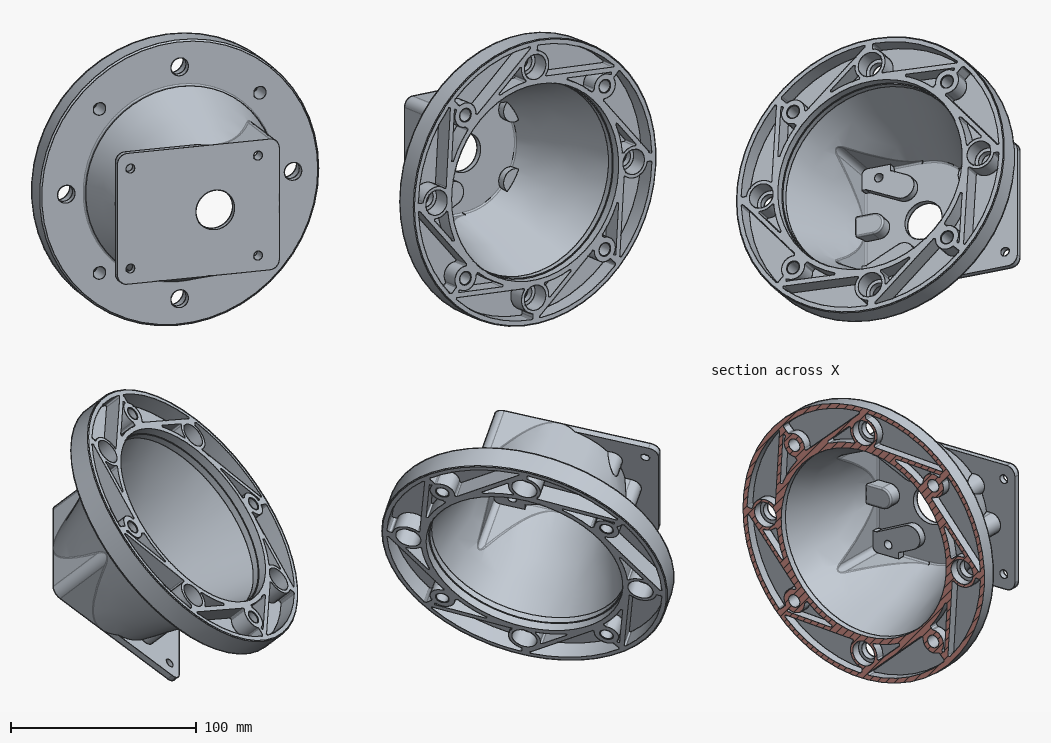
import cadquery as cq
import math


length = 70.0
flange_radius = 80.0
flange_thickness = 14.0
flange_front_chamfer = 0.5
flange_back_chamfer = 1.0

collar_radius = 54.5
collar_end = 16.0
collar_fillet = 0.8
root_margin = 0.3
shell_end_radius = 36.6

plate_thickness = 3.5
plate_half_width = shell_end_radius
plate_bottom = -56.0
plate_corner = 5.5
plate_hole_diameter = 5.0
plate_hole_z = 28.0
plate_hole_ys = (-48.6, 24.5)
wall = 2.0
junction_fillet = 1.3
blend_overrun = 4.8

bore_radius = 55.0
bore_depth = 5.0
seat_radius = 54.4
seat_end = 8.6
floor_x = length - plate_thickness
cavity_end_radius = 34.0
floor_fillet = 1.0
shaft_hole_diameter = 22.0

boss_spacing = 40.2
boss_centre_y = -9.8
boss_radius = 6.0
pad_radius = 6.9
pad_height = 4.6
pad_arm_angle = 24.5
pad_arm_length = 25.6
pad_corner_y = 17.5
pad_corner_z = 22.4
stop_radius = 6.0
stop_end_y = 20.2
stop_height = 8.0
stop_edge_round = 1.0
centre_boss_y = -40.5
boss_start = flange_thickness

bolt_circle_radius = 65.0
hole_count = 8
large_hole_angle = 0
small_hole_angle = 45
large_hole_diameter = 10.0
large_counterbore_diameter = 14.0
large_boss_radius = 9.0
small_hole_diameter = 7.0
small_hole_chamfer = 0.3
small_boss_radius = 6.9
pocket_depth = 10.0
pocket_inner_radius = 58.0
pocket_outer_radius = 77.0
pocket_corner = 0.6
rib_width = 2.7
rib_offset = 57.6
rib_lead_angle = 3.6
rib_lead_in = 1.6
spoke_width = 2.9
foot_width = 9.3


def disc(radius, start, end, y=0.0, z=0.0):
    """Cylinder along X between two X positions."""
    return cq.Workplane("YZ", origin=(start, y, z)).circle(radius).extrude(end - start)


def block(y_min, y_max, half_width, start, end):
    """Box along X, symmetric about Z = 0."""
    size_y = y_max - y_min
    base = cq.Workplane("YZ", origin=(start, y_min + size_y / 2, 0))
    return base.rect(size_y, 2 * half_width).extrude(end - start)


def revolved(profile):
    """Turn an (X, radius) outline around the X axis."""
    return cq.Workplane("XY").polyline(profile).close().revolve(360, (0, 0, 0), (1, 0, 0))


def polar_holes(first_angle):
    """YZ centres of every other hole on the bolt circle."""
    angles = [math.radians(first_angle + 90 * i) for i in range(hole_count // 2)]
    return [(bolt_circle_radius * math.cos(a), bolt_circle_radius * math.sin(a)) for a in angles]


large_holes = polar_holes(large_hole_angle)
small_holes = polar_holes(small_hole_angle)


def make_flange():
    flange = disc(flange_radius, 0, flange_thickness)
    flange = flange.faces("<X").chamfer(flange_front_chamfer)
    return flange.faces(">X").chamfer(flange_back_chamfer)


def make_shell():
    """Cone with a square half blended into it, trimmed flush at the plate end."""
    taper = (collar_radius - shell_end_radius) / (length - collar_end)
    blend_end = length + blend_overrun
    cone = revolved([(0, 0), (0, collar_radius), (collar_end, collar_radius),
                     (blend_end, shell_end_radius - taper * blend_overrun), (blend_end, 0)])
    square = block(0, plate_half_width, plate_half_width, collar_end, blend_end)
    square = square.edges("|X and >Y").fillet(plate_corner)
    shell = cone.union(square).edges("%HYPERBOLA or %BSPLINE").fillet(junction_fillet)
    return shell.intersect(disc(flange_radius, 0, length))


def make_flanged_shell():
    """Flange and shell joined, with a small fillet at the collar root."""
    body = make_flange().union(make_shell())
    root_box = cq.selectors.BoxSelector(
        (flange_thickness - root_margin, -collar_radius - root_margin, -collar_radius - root_margin),
        (flange_thickness + root_margin, collar_radius + root_margin, collar_radius + root_margin),
        boundingbox=True)
    return body.edges(root_box).fillet(collar_fillet)


def make_plate():
    plate = block(plate_bottom, plate_half_width, plate_half_width, floor_x, length)
    return plate.edges("|X").fillet(plate_corner)


def make_outer_bosses():
    """Round bosses that run from the shell to the plate on the -Y side."""
    bosses = disc(boss_radius, boss_start, length, centre_boss_y)
    bosses = bosses.union(block(centre_boss_y, 0, boss_radius, boss_start, length))
    for z in (-boss_spacing / 2, boss_spacing / 2):
        bosses = bosses.union(disc(boss_radius, boss_start, length, boss_centre_y - boss_spacing / 2, z))
    return bosses


def make_cavity():
    """Stepped bore and cone with a square half, rounded at the floor."""
    cone = revolved([(0, 0), (0, bore_radius), (bore_depth, bore_radius), (bore_depth, seat_radius),
                     (seat_end, seat_radius), (floor_x, cavity_end_radius), (floor_x, 0)])
    inner_half = plate_half_width - wall
    square = block(0, inner_half, inner_half, collar_end, floor_x)
    square = square.edges("|X and >Y").fillet(plate_corner - wall)
    cavity = cone.union(square).edges("%HYPERBOLA or %BSPLINE").fillet(junction_fillet)
    return cavity.faces(">X").edges().fillet(floor_fillet)


def make_pads(cavity):
    """Raised screw pads on the cavity floor, trimmed to the cavity walls."""
    pad_x = floor_x - pad_height
    pads = None
    for side in (-1, 1):
        z = side * boss_spacing / 2
        upper_y = boss_centre_y + boss_spacing / 2
        lower_pad = disc(pad_radius, pad_x, floor_x, upper_y - boss_spacing, z)
        upper_pad = disc(pad_radius, pad_x, floor_x, upper_y, z)
        arm = cq.Workplane("YZ", origin=(pad_x, pad_arm_length / 2, 0))
        arm = arm.rect(pad_arm_length, 2 * pad_radius).extrude(pad_height)
        arm = arm.rotate((0, 0, 0), (1, 0, 0), side * pad_arm_angle).translate((0, upper_y, z))
        corner = cq.Workplane("XY").box(pad_height, plate_half_width - pad_corner_y,
                                        plate_half_width - pad_corner_z, centered=(False, False, False))
        corner = corner.translate((pad_x, pad_corner_y, pad_corner_z))
        if side < 0:
            corner = corner.mirror("XY")
        pad = upper_pad.union(arm).union(corner).union(lower_pad)
        pads = pad if pads is None else pads.union(pad)
    stop_y = stop_end_y + stop_radius
    stop = disc(stop_radius, floor_x - stop_height, floor_x, stop_y)
    stop = stop.union(block(stop_y, plate_half_width, stop_radius, floor_x - stop_height, floor_x))
    stop = stop.faces("<X").edges("not >Y").fillet(stop_edge_round)
    return pads.union(stop).intersect(cavity)


def radial_bar(inner, outer, width, angle):
    """Straight bar in the flange face, pointing outward from the axis."""
    bar = cq.Workplane("YZ").center((inner + outer) / 2, 0)
    bar = bar.rect(outer - inner, width).extrude(pocket_depth)
    return bar.rotate((0, 0, 0), (1, 0, 0), angle)


def tangential_rib(angle):
    """Rib that leaves the inner ring almost tangentially and runs out to the rim."""
    run = math.sqrt(flange_radius ** 2 - rib_offset ** 2) + rib_lead_in
    rib = cq.Workplane("YZ").center(rib_offset, run / 2 - rib_lead_in)
    rib = rib.rect(rib_width, run).extrude(pocket_depth)
    return rib.rotate((0, 0, 0), (1, 0, 0), angle)


def make_pockets():
    """Pockets in the flange face, left between rings, bosses, spokes and tangential ribs."""
    ring = disc(pocket_outer_radius, 0, pocket_depth).cut(disc(pocket_inner_radius, 0, pocket_depth))
    for centres, radius in ((large_holes, large_boss_radius), (small_holes, small_boss_radius)):
        for y, z in centres:
            ring = ring.cut(disc(radius, 0, pocket_depth, y, z))
    for i in range(hole_count):
        angle = i * 360 / hole_count
        ring = ring.cut(tangential_rib(angle + rib_lead_angle))
        ring = ring.cut(radial_bar(bolt_circle_radius, flange_radius, spoke_width, angle))
        ring = ring.cut(radial_bar(0, bolt_circle_radius, foot_width, angle))
    return ring.edges("|X").fillet(pocket_corner)


def cut_holes(body):
    """Bolt holes, plate screw holes and the shaft hole."""
    for y, z in large_holes:
        body = body.cut(disc(large_hole_diameter / 2, 0, flange_thickness, y, z))
        body = body.cut(disc(large_counterbore_diameter / 2, 0, pocket_depth, y, z))
    for y, z in small_holes:
        hole_radius = small_hole_diameter / 2
        body = body.cut(disc(hole_radius, 0, flange_thickness, y, z))
        body = body.cut(cq.Workplane(cq.Solid.makeCone(
            hole_radius + small_hole_chamfer, hole_radius, small_hole_chamfer,
            cq.Vector(0, y, z), cq.Vector(1, 0, 0))))
    for y in plate_hole_ys:
        for z in (-plate_hole_z, plate_hole_z):
            body = body.cut(disc(plate_hole_diameter / 2, floor_x - pad_height, length, y, z))
    return body.cut(disc(shaft_hole_diameter / 2, floor_x, length))


cavity = make_cavity()
body = make_flanged_shell().union(make_plate()).union(make_outer_bosses())
body = body.cut(cavity).union(make_pads(cavity)).cut(make_pockets())
result = cut_holes(body)